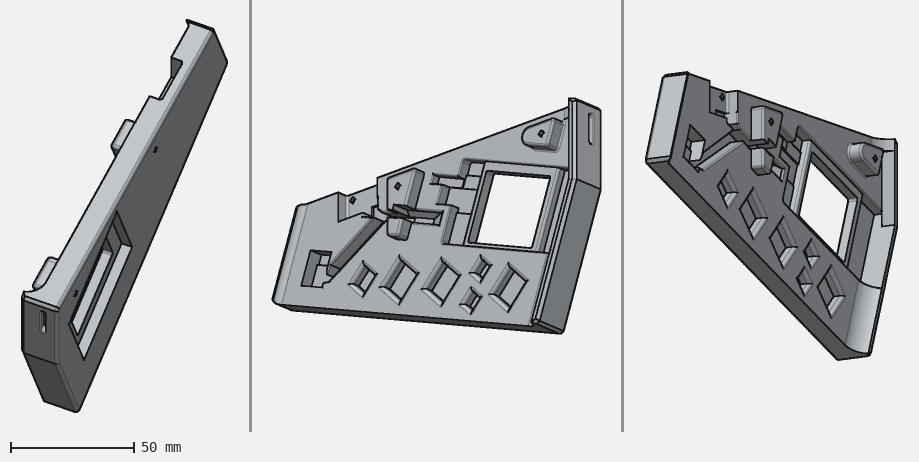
import cadquery as cq
import math

TILT = 20.0
SIN = math.sin(math.radians(TILT))
COS = math.cos(math.radians(TILT))

LENGTH = 171.8
PLATE_THICKNESS = 10.1
FRONT_FACE_HEIGHT = 36.3
BOTTOM_Q = -37.0
OUTER_EDGE = 1.4
BACK_P = -(BOTTOM_Q + OUTER_EDGE) * SIN / COS
FRONT_LIP_HEIGHT = 6.4
FRONT_LIP_WIDTH = 3.3
FRONT_LIP_ROUND = 8.6
BACK_LIP_HEIGHT = 2.2
BACK_LIP_WIDTH = 0.7
BACK_LIP_ROUND = 3.1
FRONT_ZONE = 27.5
RECESS_DROP = 4.8
RECESS_START_U = 146.0
BEYOND = 257.7
CLEAR = 17.2
GAP = 0.02

DIAMOND_DEPTH = 4.3
DIAMOND_RIM = 1.5
LARGE_SIDE = 12.9
MEDIUM_SIDE = 8.8
SMALL_SIDE = 6.2
DIAMONDS = [
    (48.3, -42.5, MEDIUM_SIDE),
    (68.4, -48.8, LARGE_SIDE),
    (91.8, -56.5, LARGE_SIDE),
    (113.5, -57.2, SMALL_SIDE),
    (108.2, -69.6, SMALL_SIDE),
    (129.0, -70.0, LARGE_SIDE),
]

FRAME_LEFT, FRAME_RIGHT = 111.0, 155.2
FRAME_BOTTOM, FRAME_TOP = -5.7, 30.2
FRAME_DEPTH = 1.0
BAY_LEFT = 99.5
BAY_CORNER = 1.4
FRAME_EDGE = 1.0
BAY_DEPTH = 4.8
BAY_RIM = 0.5
WINDOW_LEFT, WINDOW_RIGHT = 114.0, 151.7
WINDOW_BOTTOM, WINDOW_TOP = -4.1, 26.5
WINDOW_ROUND = 1.0
WINDOW_WALL = 5.5
REBATE = 6.9
LEFT_BAYS = [
    (BAY_LEFT, FRAME_BOTTOM, 8.6, 4.3),
    (BAY_LEFT, 8.6, 18.9, BAY_DEPTH),
    (91.2, 10.7, 18.9, BAY_DEPTH),
    (BAY_LEFT, 18.9, 24.5, 4.3),
    (84.7, 18.9, 22.7, 3.8),
    (BAY_LEFT, 24.5, FRAME_TOP, BAY_DEPTH),
]

FRONT_BOSS_RIGHT, FRONT_BOSS_BOTTOM, FRONT_BOSS_TOP = 153.0, 37.0, -5.7
FRONT_BOSS_NOSE = 4.0
FRONT_BOSS_HOLE = (153.3, -11.0)
FRONT_BOSS_FOOT = 0.7
MIDDLE_BOSS_HEIGHT = 5.8
MIDDLE_BOSS_LEFT, MIDDLE_BOSS_TOP = 66.8, -4.8
MIDDLE_BOSS_RIGHT, MIDDLE_BOSS_BOTTOM = 79.5, -5.7
MIDDLE_BOSS_HOLE = (73.0, -10.5)
BOSS_CORNER = 1.2
BOSS_EDGE = 1.0
BOSS_ROOT = 0.9
SCREW_HOLE_SIDE = 2.0

POCKET_LEFT, POCKET_RIGHT, POCKET_BOTTOM = 34.5, 56.2, -13.0
POCKET_DEPTH = 5.3
POCKET_FLOOR_ROUND = 1.0
POCKET_HOLE_INSET, POCKET_HOLE_V, POCKET_HOLE_DEPTH = 3.1, -2.7, 1.7
CHANNEL_DEPTH = 6.4
CHANNEL_RIM = 0.7
SLOT_LEFT, SLOT_RIGHT, SLOT_BOTTOM, SLOT_TOP = 72.9, 95.5, 2.0, 7.4
SLOT_DEPTH = 4.3
SLOT_SLOPE = 2.2
SLOT_RAMP_RISE, SLOT_RAMP_RUN = 3.5, 7.9
LATCH_LEFT, LATCH_RIGHT, LATCH_BOTTOM, LATCH_TOP = 25.3, 37.6, -28.4, -13.2
LATCH_STEP_Q = -17.7
LATCH_DEPTH, LATCH_STEP_DEPTH = 5.7, 6.5

END_SLOT_LENGTH, END_SLOT_WIDTH, END_SLOT_DEPTH = 13.2, 2.0, 3.5
END_SLOT_X, END_SLOT_Z = 3.6, -11.2
END_SLOT_RIM = 0.5


def level(height):
    return cq.Workplane(cq.Plane(origin=(-height, 0, 0), xDir=(0, -1, 0), normal=(-1, 0, 0)))


def tilted(height):
    return cq.Workplane(cq.Plane(origin=(-height, 0, 0), xDir=(0, -COS, -SIN), normal=(-1, 0, 0)))


def to_level(p, q):
    return (p * COS + q * SIN, q * COS - p * SIN)


def p_meets_v(p, v):
    return ((p + v * SIN) / COS, v)


def q_meets_v(q, v):
    return ((q - v * COS) / SIN, v)


def q_meets_u(q, u):
    return (u, (q - u * SIN) / COS)


def prism(points, low, high):
    return level(low).polyline(points).close().extrude(high - low)


def tilted_box(left, right, bottom, top, low, high=0.0):
    centre = ((left + right) / 2, (bottom + top) / 2)
    return tilted(low).center(*centre).rect(right - left, top - bottom).extrude(high - low)


def diamond(u, v, side, low, high):
    return level(low).center(u, v).transformed(rotate=(0, 0, 45)).rect(side, side).extrude(high - low)


def edges_at(solid, corners):
    picked = []
    for u, v in corners:
        for edge in solid.edges("|X").vals():
            centre = edge.Center()
            if math.hypot(centre.y + u, centre.z - v) < GAP:
                picked.append(edge)
    return solid.newObject(picked)


def fillet_border(solid, tool, radius, height=0.0):
    bounds = tool.val().BoundingBox()
    corner_a = (-height - GAP, bounds.ymin - GAP, bounds.zmin - GAP)
    corner_b = (-height + GAP, bounds.ymax + GAP, bounds.zmax + GAP)
    return solid.edges(cq.selectors.BoxSelector(corner_a, corner_b)).fillet(radius)


FRONT_P = LENGTH * COS + FRONT_FACE_HEIGHT * SIN
KNEE = (LENGTH, -FRONT_FACE_HEIGHT)
SHARP_CORNERS = [
    (LENGTH, 0),
    p_meets_v(BACK_P, 0),
    to_level(BACK_P, BOTTOM_Q),
    to_level(FRONT_P, BOTTOM_Q),
]


def make_blank():
    blank = prism(SHARP_CORNERS + [KNEE], -PLATE_THICKNESS, FRONT_LIP_HEIGHT)
    blank = edges_at(blank, SHARP_CORNERS).chamfer(OUTER_EDGE)
    blank = blank.faces(">X").edges().fillet(OUTER_EDGE)
    front_end = cq.selectors.BoxSelector(
        (-CLEAR, -LENGTH - 1.7, -LENGTH), (0, FRONT_ZONE - LENGTH, 1.7)
    )
    return blank.faces("<X").edges(front_end).chamfer(OUTER_EDGE)


def front_lip_profile(section, front):
    drop = FRONT_LIP_ROUND - FRONT_LIP_HEIGHT
    run = math.sqrt(FRONT_LIP_ROUND**2 - drop**2)
    half_angle = math.acos(drop / FRONT_LIP_ROUND) / 2
    start = front - FRONT_LIP_WIDTH - run
    middle = (
        start + FRONT_LIP_ROUND * math.sin(half_angle),
        FRONT_LIP_ROUND * (1 - math.cos(half_angle)),
    )
    path = section.moveTo(start, 0).threePointArc(middle, (start + run, FRONT_LIP_HEIGHT))
    return path.lineTo(start + run, CLEAR).lineTo(-BEYOND, CLEAR)


def make_lip_cutter():
    level_section = cq.Workplane(cq.Plane((0, 0, 0), xDir=(0, -1, 0), normal=(0, 0, -1)))
    upper = front_lip_profile(level_section, LENGTH).lineTo(-BEYOND, 0).close()
    upper = upper.extrude(BEYOND, both=True)

    drop = BACK_LIP_ROUND - BACK_LIP_HEIGHT
    run = math.sqrt(BACK_LIP_ROUND**2 - drop**2)
    half_angle = math.acos(drop / BACK_LIP_ROUND) / 2
    toe = BACK_P + BACK_LIP_WIDTH
    middle = (
        toe + run - BACK_LIP_ROUND * math.sin(half_angle),
        BACK_LIP_ROUND * (1 - math.cos(half_angle)),
    )
    tilted_section = cq.Workplane(cq.Plane((0, 0, 0), xDir=(0, -COS, -SIN), normal=(0, SIN, -COS)))
    lower = front_lip_profile(tilted_section, FRONT_P).lineTo(-BEYOND, BACK_LIP_HEIGHT)
    lower = lower.lineTo(toe, BACK_LIP_HEIGHT).threePointArc(middle, (toe + run, 0)).close()
    return upper.intersect(lower.extrude(BEYOND, both=True))


def make_recess():
    wall = LENGTH - FRONT_LIP_WIDTH
    region = prism(
        [
            (RECESS_START_U, -RECESS_DROP),
            (wall, -RECESS_DROP),
            (wall, -BEYOND),
            (RECESS_START_U, -BEYOND),
        ],
        0,
        CLEAR,
    )
    return region.intersect(
        tilted_box(0, FRONT_P - FRONT_LIP_WIDTH, FRAME_BOTTOM, BEYOND, 0, CLEAR)
    )


def add_diamonds(body):
    for u, v, side in DIAMONDS:
        pocket = diamond(u, v, side, -DIAMOND_DEPTH, 0)
        body = fillet_border(body.cut(pocket), pocket, DIAMOND_RIM)
    return body


def add_display_pocket(body):
    frame = tilted_box(FRAME_LEFT, FRAME_RIGHT, FRAME_BOTTOM, FRAME_TOP, -FRAME_DEPTH)
    right_bay = tilted_box(
        FRAME_RIGHT, FRONT_P - FRONT_LIP_WIDTH, FRAME_BOTTOM, FRAME_TOP, -BAY_DEPTH
    )
    left_bays = None
    for left, bottom, top, depth in LEFT_BAYS:
        bay = tilted_box(left, FRAME_LEFT, bottom, top, -depth)
        left_bays = bay if left_bays is None else left_bays.union(bay)
    far_corners = [to_level(BAY_LEFT, FRAME_BOTTOM), to_level(BAY_LEFT, FRAME_TOP)]
    left_bays = edges_at(left_bays, far_corners).fillet(BAY_CORNER)
    body = body.cut(frame).cut(right_bay).cut(left_bays)
    body = fillet_border(body, left_bays, BAY_RIM)
    for edge_p in (FRAME_LEFT, FRAME_RIGHT):
        middle = to_level(edge_p, (FRAME_BOTTOM + FRAME_TOP) / 2)
        ridge = diamond(*middle, FRAME_EDGE, -FRAME_DEPTH, 0)
        body = fillet_border(body, ridge, FRAME_EDGE, -FRAME_DEPTH)

    window = tilted_box(WINDOW_LEFT, WINDOW_RIGHT, WINDOW_BOTTOM, WINDOW_TOP, -PLATE_THICKNESS)
    rebate = tilted_box(
        WINDOW_LEFT - REBATE,
        WINDOW_RIGHT + REBATE,
        WINDOW_BOTTOM - REBATE,
        WINDOW_TOP + REBATE,
        -PLATE_THICKNESS,
        -WINDOW_WALL,
    )
    return body.cut(window.edges("|X").fillet(WINDOW_ROUND)).cut(rebate)


def add_front_boss(body):
    nose = q_meets_v(FRONT_BOSS_BOTTOM, FRONT_BOSS_TOP)
    upper = p_meets_v(FRONT_BOSS_RIGHT, FRONT_BOSS_TOP)
    lower = to_level(FRONT_BOSS_RIGHT, FRONT_BOSS_BOTTOM)
    boss = prism([nose, upper, lower], -BOSS_ROOT, FRONT_LIP_HEIGHT)
    boss = edges_at(boss, [nose]).fillet(FRONT_BOSS_NOSE)
    boss = edges_at(boss, [upper, lower]).fillet(BOSS_CORNER)
    boss = boss.faces("<X").edges().fillet(BOSS_EDGE)
    body = body.union(boss)
    body = fillet_border(body, boss, FRONT_BOSS_FOOT)
    return body.cut(diamond(*FRONT_BOSS_HOLE, SCREW_HOLE_SIDE, -CLEAR, CLEAR))


def make_middle_boss():
    corners = [
        (MIDDLE_BOSS_LEFT, MIDDLE_BOSS_TOP),
        p_meets_v(MIDDLE_BOSS_RIGHT, MIDDLE_BOSS_TOP),
        to_level(MIDDLE_BOSS_RIGHT, MIDDLE_BOSS_BOTTOM),
        q_meets_u(MIDDLE_BOSS_BOTTOM, MIDDLE_BOSS_LEFT),
    ]
    boss = prism(corners, -BOSS_ROOT, MIDDLE_BOSS_HEIGHT)
    boss = boss.edges("|X").fillet(BOSS_CORNER)
    return boss.faces("<X").edges().fillet(BOSS_EDGE)


def make_channel(high):
    points = [
        (25.5, -37.3),
        (29.2, -37.8),
        to_level(64.1, 2.0),
        to_level(76.3, 1.7),
        to_level(76.3, 5.2),
        to_level(60.3, 5.2),
        (POCKET_RIGHT, -13.7),
        (POCKET_RIGHT, -9.0),
        (48.3, -9.0),
        (48.3, -14.6),
        to_level(56.4, 2.7),
        to_level(38.7, -18.5),
    ]
    return prism(points, -CHANNEL_DEPTH, high)


def make_slot(high):
    upper_floor_edge = cq.selectors.DirectionMinMaxSelector(cq.Vector(0, -SIN, COS))
    slot = tilted_box(SLOT_LEFT, SLOT_RIGHT, SLOT_BOTTOM, SLOT_TOP, -SLOT_DEPTH, high)
    end_floor_edge = cq.selectors.DirectionMinMaxSelector(cq.Vector(0, -COS, -SIN))
    slot = slot.faces(">X").edges(upper_floor_edge).chamfer(SLOT_SLOPE)
    return slot.faces(">X").edges(end_floor_edge).chamfer(SLOT_RAMP_RISE, SLOT_RAMP_RUN)


def add_top_pocket(body):
    pocket = prism(
        [
            (POCKET_LEFT, CLEAR),
            (POCKET_RIGHT, CLEAR),
            (POCKET_RIGHT, POCKET_BOTTOM),
            (POCKET_LEFT, POCKET_BOTTOM),
        ],
        -POCKET_DEPTH,
        0,
    )
    pocket = pocket.faces(">X").edges("|Z").fillet(POCKET_FLOOR_ROUND)
    body = body.cut(pocket)
    for u in (POCKET_LEFT + POCKET_HOLE_INSET, POCKET_RIGHT - POCKET_HOLE_INSET):
        bottom = -POCKET_DEPTH - POCKET_HOLE_DEPTH
        body = body.cut(diamond(u, POCKET_HOLE_V, SCREW_HOLE_SIDE, bottom, 0))
    return body


def add_latch_pocket(body):
    pocket = tilted_box(LATCH_LEFT, LATCH_RIGHT, LATCH_BOTTOM, LATCH_TOP, -LATCH_DEPTH)
    step = tilted_box(LATCH_LEFT, LATCH_RIGHT, LATCH_STEP_Q, LATCH_TOP, -LATCH_STEP_DEPTH)
    return body.cut(pocket).cut(step)


def add_end_slot(body):
    section = cq.Workplane("XZ", origin=(END_SLOT_X, -LENGTH, END_SLOT_Z))
    slot = section.slot2D(END_SLOT_LENGTH, END_SLOT_WIDTH, 90).extrude(-END_SLOT_DEPTH)
    bounds = slot.val().BoundingBox()
    mouth = cq.selectors.BoxSelector(
        (bounds.xmin - GAP, -LENGTH - GAP, bounds.zmin - GAP),
        (bounds.xmax + GAP, -LENGTH + GAP, bounds.zmax + GAP),
    )
    body = body.cut(slot)
    return body.edges(mouth).fillet(END_SLOT_RIM)


body = make_blank().cut(make_lip_cutter()).cut(make_recess())
body = add_diamonds(body)
body = add_display_pocket(body)
body = add_front_boss(body)

trench = make_channel(0).union(make_slot(0))
body = body.cut(trench)
body = fillet_border(body, trench, CHANNEL_RIM)
body = body.union(make_middle_boss()).cut(make_channel(CLEAR)).cut(make_slot(CLEAR))
body = body.cut(diamond(*MIDDLE_BOSS_HOLE, SCREW_HOLE_SIDE, -CLEAR, CLEAR))

body = add_top_pocket(body)
body = add_latch_pocket(body)
result = add_end_slot(body)